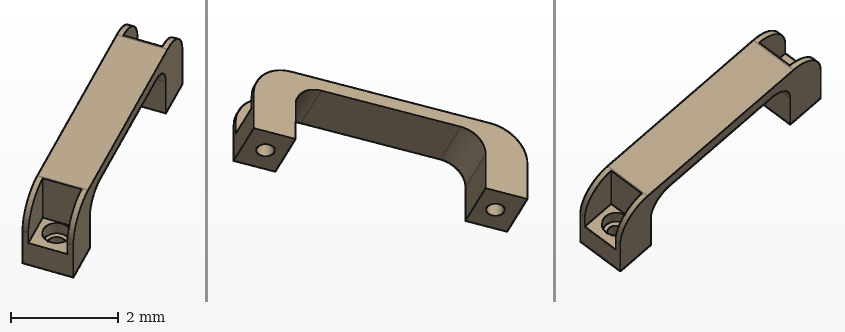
import cadquery as cq

length = 5.47
width = 1.02
height = 1.61

leg_thickness = 0.835
grip_thickness = 0.275
outer_radius = 0.75
inner_radius = 0.505

pocket_width = 0.775
pocket_length = 0.715
pocket_floor = 0.575

hole_inset = 0.44
hole_diameter = 0.345
counterbore_diameter = 0.53
counterbore_depth = 0.275


def make_body():
    """Bar with rounded upper ends, arched underneath to leave two legs."""
    bar = cq.Workplane("XY").box(width, length, height, centered=(True, True, False))
    bar = bar.edges("|X and >Z").fillet(outer_radius)
    arch = cq.Workplane("XY").box(
        width, length - 2 * leg_thickness, height - grip_thickness, centered=(True, True, False)
    )
    arch = arch.edges("|X and >Z").fillet(inner_radius)
    return bar.cut(arch)


def make_pocket(end):
    """Pocket open at the top and at the outer end; end is -1 or 1."""
    return (
        cq.Workplane("XY", origin=(0, end * (length - pocket_length) / 2, pocket_floor))
        .rect(pocket_width, pocket_length)
        .extrude(height - pocket_floor)
    )


def make_screw_hole(end):
    """Through hole with a counterbore sunk into the pocket floor."""
    hole_y = end * (length / 2 - hole_inset)
    hole = cq.Workplane("XY", origin=(0, hole_y, 0)).circle(hole_diameter / 2).extrude(pocket_floor)
    counterbore = (
        cq.Workplane("XY", origin=(0, hole_y, pocket_floor))
        .circle(counterbore_diameter / 2)
        .extrude(-counterbore_depth)
    )
    return hole.union(counterbore)


result = make_body()
for end in (-1, 1):
    result = result.cut(make_pocket(end)).cut(make_screw_hole(end))